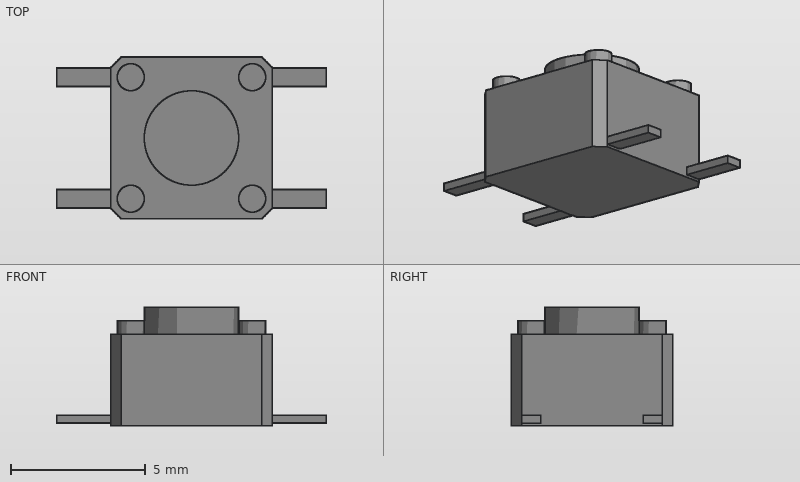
import cadquery as cq

body_side = 6.0
corner_chamfer = 0.4
base_height = 2.9
cover_thickness = 0.5
body_height = base_height + cover_thickness

button_diameter = 3.5
button_height = 1.0

peg_diameter = 1.0
peg_height = 0.5
peg_spacing = 4.5

lead_span = 10.0
lead_width = 0.7
lead_thickness = 0.3
lead_bottom = 0.1
lead_offset = body_side / 2 - corner_chamfer - lead_width / 2


def make_block(bottom, height):
    """Square block with chamfered vertical edges."""
    return (
        cq.Workplane("XY", origin=(0, 0, bottom))
        .rect(body_side, body_side)
        .extrude(height)
        .edges("|Z")
        .chamfer(corner_chamfer)
    )


def make_button():
    return (
        cq.Workplane("XY", origin=(0, 0, body_height))
        .circle(button_diameter / 2)
        .extrude(button_height)
    )


def make_pegs():
    return (
        cq.Workplane("XY", origin=(0, 0, body_height))
        .rect(peg_spacing, peg_spacing, forConstruction=True)
        .vertices()
        .circle(peg_diameter / 2)
        .extrude(peg_height)
    )


def make_leads():
    """Two straight bars through the base; their ends form the four leads."""
    return (
        cq.Workplane("XY", origin=(0, 0, lead_bottom))
        .pushPoints([(0, -lead_offset), (0, lead_offset)])
        .rect(lead_span, lead_width)
        .extrude(lead_thickness)
    )


base = make_block(0, base_height)
cover = make_block(base_height, cover_thickness)

result = base.union(cover, clean=False)
for feature in (make_button(), make_pegs(), make_leads()):
    result = result.union(feature, clean=False)